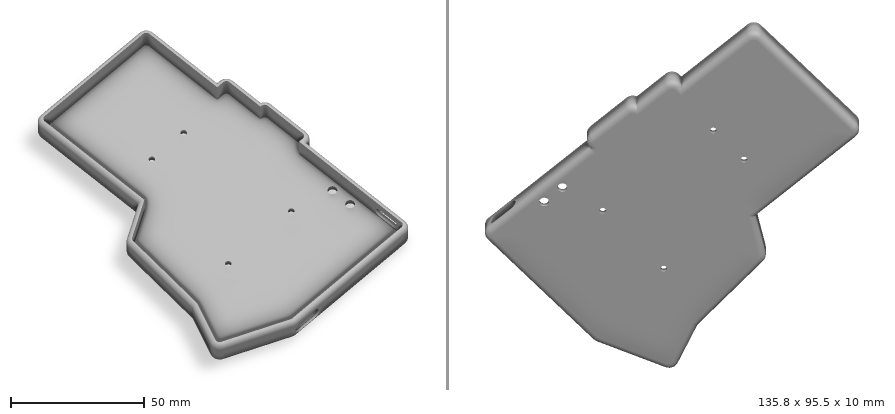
import cadquery as cq

length = 135.8
height = 10.0
wall = 2.0
floor = 2.0
corner_radius = 3.7
bottom_round = 2.5
rim_flat = 0.07
top_round = wall - rim_flat

core_left = corner_radius
core_right = length - corner_radius
core_front = corner_radius
wing_back = 56.7
step_back = 61.6
peak_back = 63.8
right_back = 60.1
step_left = 40.7
peak_left = 58.6
peak_right = 77.0
wing_bend = (56.7, core_front)
near_corner = (66.1, -12.9)
shallow_bend = (103.6, -16.8)
front_tip = (120.7, -24.3)
right_bend = (core_right, 1.4)
core_outline = [
    (core_left, core_front),
    wing_bend,
    near_corner,
    shallow_bend,
    front_tip,
    right_bend,
    (core_right, right_back),
    (peak_right, right_back),
    (peak_right, peak_back),
    (peak_left, peak_back),
    (peak_left, step_back),
    (step_left, step_back),
    (step_left, wing_back),
    (core_left, wing_back),
]

screw_diameter = 2.5
screw_places = [(40.7, 38.7), (40.7, 21.6), (94.9, 40.9), (94.9, 6.9)]
large_diameter = 3.7
large_places = [(99.2, 58.5), (108.5, 58.5)]

opening_length = 12.0
opening_height = 4.0
opening_sill = 0.7
opening_z = floor + opening_sill + opening_height / 2
back_opening_x = 124.6
right_opening_y = 7.5
recess_margin = 0.48
recess_depth = wall / 2


def prism(offset, bottom):
    """Upright body from the given level to the rim, its outline set out from the core."""
    outline = cq.Workplane("XY").workplane(offset=bottom).polyline(core_outline).close()
    return outline.offset2D(offset, "arc").extrude(height - bottom)


def floor_holes(places, diameter):
    return cq.Workplane("XY").pushPoints(places).circle(diameter / 2).extrude(floor)


def wall_opening(outer_plane):
    """Cutter for one opening and its recess; the plane lies on the wall and faces outwards."""
    sketch = cq.Workplane(outer_plane)
    opening = sketch.slot2D(opening_length, opening_height).extrude(-wall)
    recess_length = opening_length + 2 * recess_margin
    recess_height = opening_height + 2 * recess_margin
    return opening.union(sketch.slot2D(recess_length, recess_height).extrude(-recess_depth))


tray = prism(corner_radius, 0)
tray = tray.faces("<Z").edges().fillet(bottom_round)
tray = tray.faces(">Z").edges().fillet(top_round)
tray = tray.cut(prism(corner_radius - wall, floor))

tray = tray.cut(floor_holes(screw_places, screw_diameter))
tray = tray.cut(floor_holes(large_places, large_diameter))

back_outside = (back_opening_x, right_back + corner_radius, opening_z)
right_outside = (length, right_opening_y, opening_z)
tray = tray.cut(wall_opening(cq.Plane(back_outside, xDir=(-1, 0, 0), normal=(0, 1, 0))))
tray = tray.cut(wall_opening(cq.Plane(right_outside, xDir=(0, 1, 0), normal=(1, 0, 0))))

result = tray